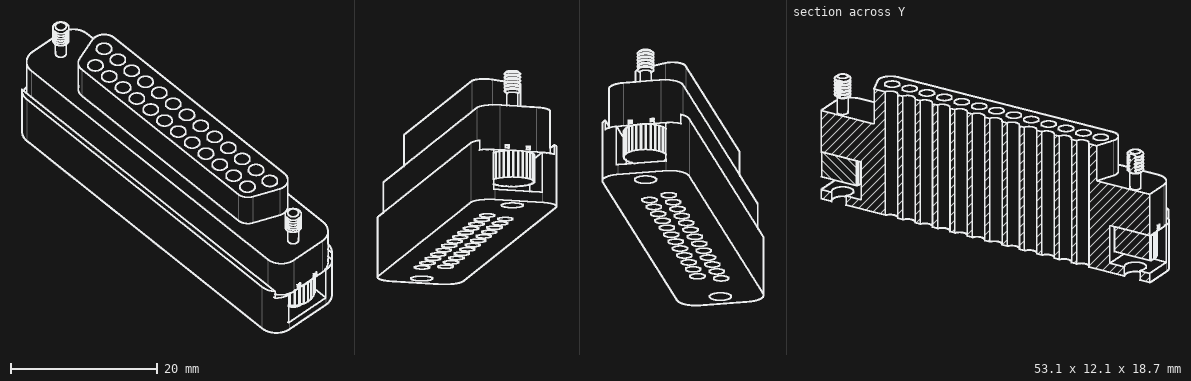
import cadquery as cq
import math

overall_length = 53.15

body_length = 52.8
shell_width = 12.05
shell_height = 8.35
shell_corner_radius = 2.65
recess_width = 10.6
recess_floor_z = 7.0
hood_width = 10.3
hood_offset_y = 0.05
hood_corner_radius = 2.55
hood_top_z = 13.3

face_top_z = 18.55
face_depth = 7.3
face_offset_y = 0.5
face_mean_half_length = 18.45
face_corner_radius = 1.8
face_taper_angle = 21.2
face_taper = face_depth / 2 * math.tan(math.radians(face_taper_angle))

contact_diameter = 2.05
contact_rows = [(13, 0.15, 1.7), (12, 0.25, -1.3)]
long_row_span = 33.5
contact_pitch = long_row_span / (contact_rows[0][0] - 1)

screw_spacing = 47.1
screw_offset_y = 0.08
screw_x = -screw_spacing / 2
shank_radius = 0.75
knob_bottom_z = 3.3
knob_radius = 3.0
ridge_tip_radius = (overall_length - screw_spacing) / 2
ridge_count = 28
ridge_width = 0.15

screw_top_z = 18.7
crest_radius = 1.1
root_radius = 0.9
thread_pitch = 0.5
thread_rings = 6
thread_end_taper = 0.3

pocket_width = 6.9
pocket_depth = 6.4
pocket_floor_z = 1.45
access_hole_radius = 1.5

notch_width = 0.55
notch_height = 0.4
notch_depth = 0.55
notch_spacing = 3.05
notch_bottom_z = 7.35

end_angles = [0, 180]


def upright_box(x_min, x_size, y_center, y_size, z_min, z_max):
    """Box placed by its low X, middle Y and Z range."""
    return (
        cq.Workplane("XY")
        .box(x_size, y_size, z_max - z_min, centered=(False, True, False))
        .translate((x_min, y_center, z_min))
    )


def upright_cylinder(radius, z_min, z_max):
    """Cylinder on the axis of the screw at the -X end."""
    return (
        cq.Workplane("XY", origin=(screw_x, screw_offset_y, z_min))
        .circle(radius)
        .extrude(z_max - z_min)
    )


def at_both_ends(shape):
    """The shape at the -X end and its half-turn copy at the +X end."""
    return [shape.rotate((0, 0, 0), (0, 0, 1), angle) for angle in end_angles]


def rounded_block(width, y_center, z_min, z_max, corner_radius):
    block = upright_box(-body_length / 2, body_length, y_center, width, z_min, z_max)
    return block.edges("|Z").fillet(corner_radius)


def make_connector_face():
    top_half = face_mean_half_length + face_taper
    bottom_half = face_mean_half_length - face_taper
    top_y = face_offset_y + face_depth / 2
    bottom_y = face_offset_y - face_depth / 2
    return (
        cq.Workplane("XY", origin=(0, 0, hood_top_z))
        .polyline([(-top_half, top_y), (top_half, top_y), (bottom_half, bottom_y), (-bottom_half, bottom_y)])
        .close()
        .extrude(face_top_z - hood_top_z)
        .edges("|Z")
        .fillet(face_corner_radius)
    )


def make_contact_holes():
    points = []
    for count, center_x, y in contact_rows:
        first_x = center_x - contact_pitch * (count - 1) / 2
        points += [(first_x + contact_pitch * i, y) for i in range(count)]
    return cq.Workplane("XY").pushPoints(points).circle(contact_diameter / 2).extrude(face_top_z)


def make_end_cut():
    """Everything removed from the -X end: screw pocket, access hole, shank hole and notches."""
    end_x = -body_length / 2
    cut = upright_box(end_x, pocket_depth, screw_offset_y, pocket_width, pocket_floor_z, recess_floor_z)
    cut = cut.union(upright_cylinder(access_hole_radius, 0, pocket_floor_z))
    cut = cut.union(upright_cylinder(shank_radius, recess_floor_z, hood_top_z))
    for side in (-1, 1):
        notch_y = screw_offset_y + side * notch_spacing / 2
        notch_top_z = notch_bottom_z + notch_height
        cut = cut.union(upright_box(end_x, notch_depth, notch_y, notch_width, notch_bottom_z, notch_top_z))
    return cut


def make_housing():
    shell = rounded_block(shell_width, 0, 0, shell_height, shell_corner_radius)
    recess = upright_box(-body_length / 2, body_length, 0, recess_width, recess_floor_z, shell_height)
    hood = rounded_block(hood_width, hood_offset_y, recess_floor_z, hood_top_z, hood_corner_radius)
    housing = shell.cut(recess).union(hood).union(make_connector_face()).cut(make_contact_holes())
    for end_cut in at_both_ends(make_end_cut()):
        housing = housing.cut(end_cut)
    return housing


def make_knob():
    """Round knob with pointed grip ridges along its side."""
    knob = upright_cylinder(knob_radius, knob_bottom_z, recess_floor_z)
    base_x = -knob_radius * math.cos(ridge_width / knob_radius)
    ridge = (
        cq.Workplane("XY", origin=(screw_x, screw_offset_y, knob_bottom_z))
        .polyline([(base_x, -ridge_width / 2), (-ridge_tip_radius, 0), (base_x, ridge_width / 2)])
        .close()
        .extrude(recess_floor_z - knob_bottom_z)
    )
    axis_start = (screw_x, screw_offset_y, 0)
    axis_end = (screw_x, screw_offset_y, 1)
    for i in range(ridge_count):
        knob = knob.union(ridge.rotate(axis_start, axis_end, 360 / ridge_count * i))
    return knob


def make_threaded_shank():
    """Plain shank ending in V-shaped thread rings, revolved about the screw axis."""
    first_crest_z = screw_top_z - thread_end_taper - (thread_rings - 1) * thread_pitch
    profile = [(0, recess_floor_z), (shank_radius, recess_floor_z)]
    profile.append((shank_radius, first_crest_z - thread_end_taper))
    for i in range(thread_rings):
        crest_z = first_crest_z + i * thread_pitch
        if i > 0:
            profile.append((root_radius, crest_z - thread_pitch / 2))
        profile.append((crest_radius, crest_z))
    profile += [(shank_radius, screw_top_z), (0, screw_top_z)]
    shank = cq.Workplane("XZ").polyline(profile).close().revolve(360, (0, 0, 0), (0, 1, 0))
    return shank.translate((screw_x, screw_offset_y, 0))


def make_thumb_screws():
    return at_both_ends(make_knob().union(make_threaded_shank()))


housing = make_housing()
thumb_screws = make_thumb_screws()

result = cq.Compound.makeCompound([housing.val(), *[screw.val() for screw in thumb_screws]])